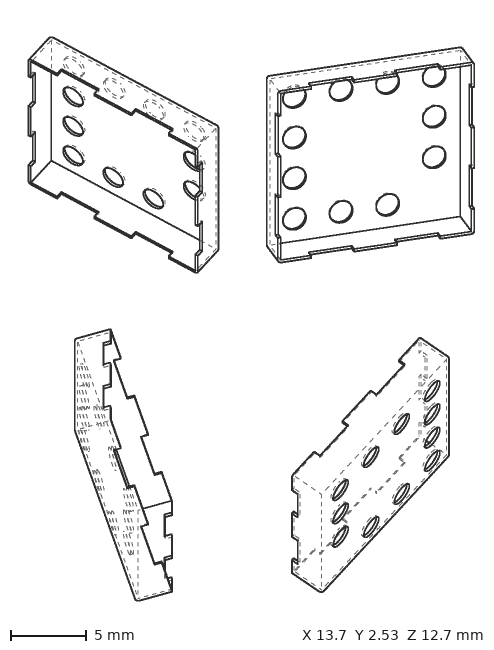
import cadquery as cq

width = 13.7
depth = 2.53
height = 12.7
wall = 0.2
edge_radius = 0.25

pattern_shift_x = -0.03

hole_diameter = 1.6
holes_per_side = 4
hole_pitch_x = 3.25
hole_pitch_z = 3.0

notch_width = 3.0
notch_depth = 0.5
notch_offset = notch_width


def make_shell():
    """Box with rounded back and side edges, hollowed from the open side."""
    outer = cq.Workplane("XY").box(width, depth, height)
    outer = outer.edges("|Y or >Y").fillet(edge_radius)
    cavity = (
        cq.Workplane("XY")
        .box(width - 2 * wall, depth, height - 2 * wall)
        .translate((0, -wall, 0))
    )
    return outer.cut(cavity)


def vent_positions():
    """Border positions of the hole grid, except the +X, -Z corner."""
    last = holes_per_side - 1
    positions = []
    for column in range(holes_per_side):
        for row in range(holes_per_side):
            on_border = column in (0, last) or row in (0, last)
            is_blank_corner = column == last and row == 0
            if on_border and not is_blank_corner:
                x = pattern_shift_x + (column - last / 2) * hole_pitch_x
                z = (row - last / 2) * hole_pitch_z
                positions.append((x, z))
    return positions


def make_vents():
    """Cylinders along Y that pierce the back plate."""
    return (
        cq.Workplane("XZ")
        .pushPoints(vent_positions())
        .circle(hole_diameter / 2)
        .extrude(depth, both=True)
    )


def cut_rim_notches(shell):
    """Cut bars through opposite walls so that their notches match."""
    notch_y = -depth / 2 + notch_depth / 2
    for offset in (-notch_offset, notch_offset):
        bar_along_z = cq.Workplane("XY").box(notch_width, notch_depth, height)
        bar_along_x = cq.Workplane("XY").box(width, notch_depth, notch_width)
        shell = shell.cut(bar_along_z.translate((offset + pattern_shift_x, notch_y, 0)))
        shell = shell.cut(bar_along_x.translate((0, notch_y, offset)))
    return shell


result = cut_rim_notches(make_shell()).cut(make_vents())